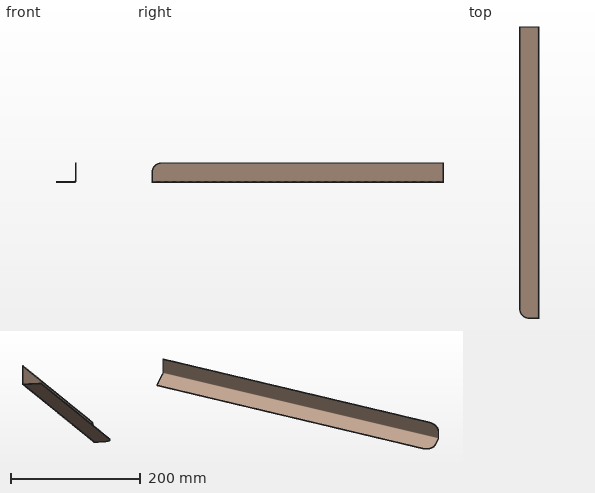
import cadquery as cq

length = 450.0
flat_width = 28.0
thickness = 1.0
inner_bend_radius = 1.0
corner_radius = 15.0

outer_bend_radius = inner_bend_radius + thickness
leg = flat_width + outer_bend_radius
half_length = length / 2
half_leg = leg / 2


def angle_strip():
    """L-section with the flat leg at the bottom and the upright leg on +X, bent along Y."""
    outer = cq.Workplane("XY").box(leg, length, leg).edges(">X and <Z").fillet(outer_bend_radius)
    inner = (
        cq.Workplane("XY")
        .box(leg, length, leg)
        .edges(">X and <Z")
        .fillet(inner_bend_radius)
        .translate((-thickness, 0, thickness))
    )
    return outer.cut(inner)


def round_free_corners(strip):
    """Round the free corner of each leg at the -Y end."""
    flat_corner = cq.selectors.NearestToPointSelector((-half_leg, -half_length, -half_leg + thickness / 2))
    upright_corner = cq.selectors.NearestToPointSelector((half_leg - thickness / 2, -half_length, half_leg))
    strip = strip.edges("|Z").edges(flat_corner).fillet(corner_radius)
    return strip.edges("|X").edges(upright_corner).fillet(corner_radius)


result = round_free_corners(angle_strip())